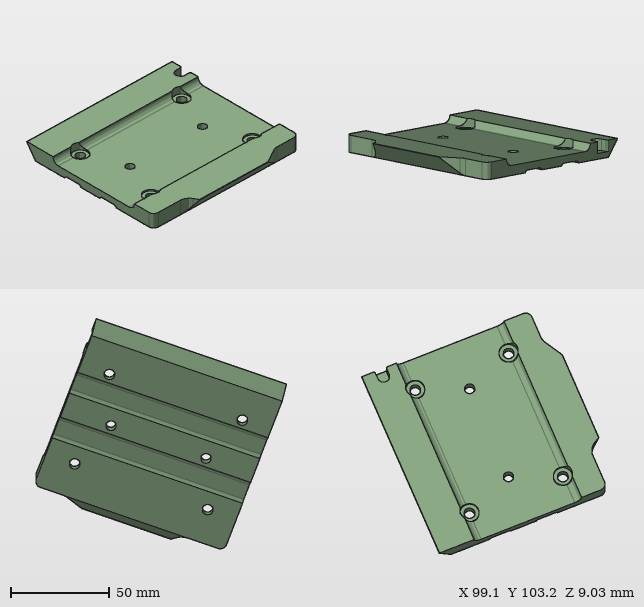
import cadquery as cq
import math

length = 103.24
top_width = 99.12
thickness = 9.03
edge_setback = 6.5
lip_width = 0.2
lip_height = 0.2
half_length = length / 2
left_x = -top_width / 2
right_x = top_width / 2
shoulder_x = right_x - edge_setback

corner_radius = 3.5
tab_top_y = 23.3
tab_bottom_y = -25.0
tab_root_radius = 6.5
upper_flank_angle = 60
lower_flank_angle = 30

channel_offset = 48.93
channel_center_x = left_x + channel_offset
channel_width = 59.3
channel_depth = 3.8

groove_pitch = 25.75
first_groove_offset = 15.35
first_groove_x = channel_center_x - first_groove_offset
groove_width = 12.0
groove_floor_width = 8.4
groove_depth = 1.25

screw_pitch_x = 2 * groove_pitch
screw_pitch_y = 72.1
screw_diameter = 5.5
counterbore_diameter = 9.75
counterbore_depth = 4.73
counterbore_floor_z = thickness - counterbore_depth
center_hole_pitch = screw_pitch_x
center_hole_diameter = 5.2

slot_offset = 10.45
slot_center_x = left_x + slot_offset
slot_width = 6.3
slot_length = 7.25
slot_mouth_radius = 0.9
slot_depth = 6.0
slot_floor_z = thickness - slot_depth


def dovetail_plate():
    profile = [
        (left_x + lip_width, thickness),
        (right_x - lip_width, thickness),
        (right_x, thickness - lip_height),
        (shoulder_x, 0),
        (left_x + edge_setback, 0),
        (left_x, thickness - lip_height),
    ]
    return cq.Workplane("XZ", origin=(0, half_length, 0)).polyline(profile).close().extrude(length)


def outline_prism():
    """Plan outline with the tab on the right side."""
    upper_run = edge_setback * math.tan(math.radians(upper_flank_angle))
    lower_run = edge_setback * math.tan(math.radians(lower_flank_angle))
    upper_root_y = tab_top_y + upper_run
    lower_root_y = tab_bottom_y - lower_run
    outline = [
        (left_x, -half_length),
        (shoulder_x, -half_length),
        (shoulder_x, lower_root_y),
        (right_x, tab_bottom_y),
        (right_x, tab_top_y),
        (shoulder_x, upper_root_y),
        (shoulder_x, half_length),
        (left_x, half_length),
    ]
    prism = cq.Workplane("XY").polyline(outline).close().extrude(thickness)
    for corner_y, radius in (
        (-half_length, corner_radius),
        (lower_root_y, tab_root_radius),
        (upper_root_y, tab_root_radius),
        (half_length, corner_radius),
    ):
        corner = cq.selectors.NearestToPointSelector((shoulder_x, corner_y, thickness / 2))
        prism = prism.edges("|Z").edges(corner).fillet(radius)
    return prism


def channel():
    """Full-length channel whose side walls are quarter-round coves."""
    half_top = channel_width / 2
    half_floor = half_top - channel_depth
    floor_z = thickness - channel_depth
    cove_offset = channel_depth * math.sqrt(0.5)
    return (
        cq.Workplane("XZ", origin=(channel_center_x, half_length, 0))
        .moveTo(-half_top, thickness)
        .threePointArc((-half_floor - cove_offset, thickness - cove_offset), (-half_floor, floor_z))
        .lineTo(half_floor, floor_z)
        .threePointArc((half_floor + cove_offset, thickness - cove_offset), (half_top, thickness))
        .close()
        .extrude(length)
    )


def bottom_groove(center_x):
    """Shallow full-length groove with sides that round into its floor."""
    half_mouth = groove_width / 2
    half_floor = groove_floor_width / 2
    side_run = half_mouth - half_floor
    side_radius = (side_run**2 + groove_depth**2) / (2 * groove_depth)
    half_sweep = math.asin(side_run / side_radius) / 2
    mid_x = half_floor + side_radius * math.sin(half_sweep)
    mid_z = groove_depth - side_radius * (1 - math.cos(half_sweep))
    return (
        cq.Workplane("XZ", origin=(center_x, half_length, 0))
        .moveTo(-half_mouth, 0)
        .threePointArc((-mid_x, mid_z), (-half_floor, groove_depth))
        .lineTo(half_floor, groove_depth)
        .threePointArc((mid_x, mid_z), (half_mouth, 0))
        .close()
        .extrude(length)
    )


def screw_holes():
    holes = cq.Workplane("XY", origin=(channel_center_x, 0, 0))
    holes = holes.rarray(screw_pitch_x, screw_pitch_y, 2, 2).circle(screw_diameter / 2).extrude(thickness)
    counterbores = cq.Workplane("XY", origin=(channel_center_x, 0, counterbore_floor_z))
    counterbores = counterbores.rarray(screw_pitch_x, screw_pitch_y, 2, 2)
    counterbores = counterbores.circle(counterbore_diameter / 2).extrude(thickness - counterbore_floor_z)
    return holes.union(counterbores)


def center_holes():
    holes = cq.Workplane("XY", origin=(channel_center_x, 0, 0))
    return holes.rarray(1, center_hole_pitch, 1, 2).circle(center_hole_diameter / 2).extrude(thickness)


def locating_slot():
    """Round-ended blind slot in the top face, open at the rear edge, with a rounded mouth."""
    half_width = slot_width / 2
    half_mouth = half_width + slot_mouth_radius
    arc_center_y = half_length - slot_length + half_width
    mouth_y = half_length - slot_mouth_radius
    return (
        cq.Workplane("XY", origin=(0, 0, slot_floor_z))
        .moveTo(slot_center_x - half_mouth, half_length)
        .radiusArc((slot_center_x - half_width, mouth_y), slot_mouth_radius)
        .lineTo(slot_center_x - half_width, arc_center_y)
        .threePointArc((slot_center_x, half_length - slot_length), (slot_center_x + half_width, arc_center_y))
        .lineTo(slot_center_x + half_width, mouth_y)
        .radiusArc((slot_center_x + half_mouth, half_length), slot_mouth_radius)
        .close()
        .extrude(thickness - slot_floor_z)
    )


plate = dovetail_plate().intersect(outline_prism()).cut(channel())
for groove_x in (first_groove_x, first_groove_x + groove_pitch):
    plate = plate.cut(bottom_groove(groove_x))
result = plate.cut(screw_holes()).cut(center_holes()).cut(locating_slot())